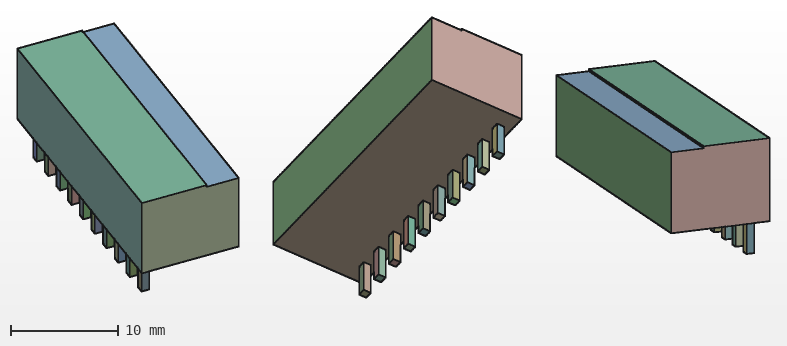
import cadquery as cq

housing_length = 27.2
housing_depth = 10.0
housing_height = 8.1

step_depth = 3.3
step_drop = 0.2

pin_count = 10
pin_pitch = 2.54
pin_width = 0.8
pin_length = 3.5
pin_row_from_front = 1.2


def make_housing():
    """Block with its front face on Y = 0, its underside on Z = 0 and a lowered rear strip on top."""
    block = cq.Workplane("XY").box(housing_length, housing_depth, housing_height, centered=(True, False, False))
    strip = (
        cq.Workplane("XY")
        .box(housing_length, step_depth, step_drop, centered=(True, False, False))
        .translate((0, housing_depth - step_depth, housing_height - step_drop))
    )
    return block.cut(strip)


def make_pins():
    """Row of pins centred along the housing length, hanging below the underside."""
    return (
        cq.Workplane("XY")
        .center(0, pin_row_from_front)
        .rarray(pin_pitch, 1, pin_count, 1)
        .rect(pin_width, pin_width)
        .extrude(-pin_length)
    )


result = make_housing().union(make_pins())